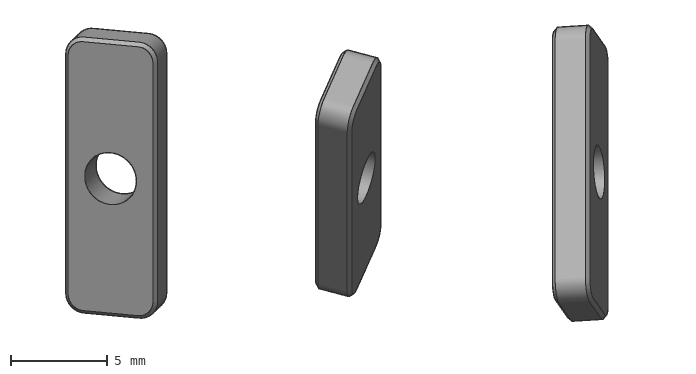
import cadquery as cq

width = 5.0
thickness = 2.0
height = 15.0

corner_radius = width / 5
edge_chamfer = 0.2
hole_diameter = 2.8

plate = cq.Workplane("XY").box(width, thickness, height)
plate = plate.edges("|Y").fillet(corner_radius)

plate = plate.faces("<Y or >Y").edges().chamfer(edge_chamfer)

hole = cq.Workplane("XZ", origin=(0, thickness / 2, 0)).circle(hole_diameter / 2).extrude(thickness)

result = plate.cut(hole)